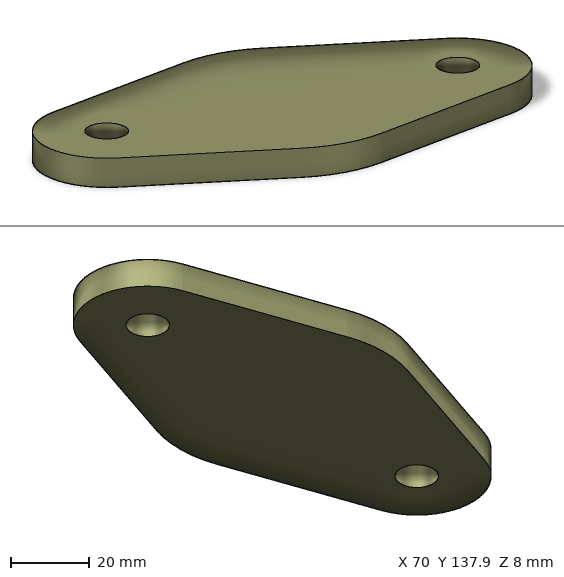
import cadquery as cq
import math

length = 137.9
width = 70.0
thickness = 8.0
hole_spacing = 100.1
hole_diameter = 11.0

hole_offset = hole_spacing / 2
end_radius = length / 2 - hole_offset
side_radius = width / 2

normal_y = (side_radius - end_radius) / hole_offset
normal_x = math.sqrt(1 - normal_y**2)
side_x = side_radius * normal_x
side_y = side_radius * normal_y
end_x = end_radius * normal_x
end_y = hole_offset + end_radius * normal_y

plate = (
    cq.Workplane("XY")
    .moveTo(side_x, -side_y)
    .threePointArc((side_radius, 0), (side_x, side_y))
    .lineTo(end_x, end_y)
    .threePointArc((0, length / 2), (-end_x, end_y))
    .lineTo(-side_x, side_y)
    .threePointArc((-side_radius, 0), (-side_x, -side_y))
    .lineTo(-end_x, -end_y)
    .threePointArc((0, -length / 2), (end_x, -end_y))
    .close()
    .extrude(thickness)
)

result = (
    plate.faces(">Z")
    .workplane(origin=(0, 0, thickness))
    .pushPoints([(0, hole_offset), (0, -hole_offset)])
    .hole(hole_diameter)
)